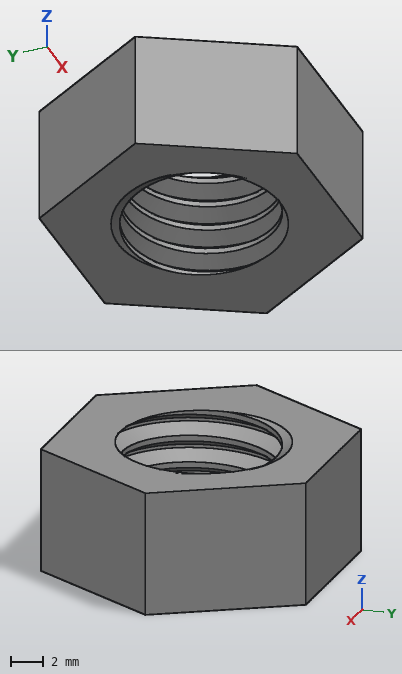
import cadquery as cq
import math

across_corners = 20.0
nut_height = 8.0
bore_radius = 5.0

thread_pitch = 1.75
root_radius = 6.0
root_flat = thread_pitch / 8
flank_half_angle = math.radians(30)
start_angle = 40.0
bore_overlap = 0.15
end_turns = 1


def hex_body():
    body = cq.Workplane("XY").polygon(6, across_corners).extrude(nut_height)
    return body.faces(">Z").workplane().circle(bore_radius).cutThruAll()


def thread_cutter():
    """Helical trapezoid whose groove centre meets the top face at start_angle."""
    inner_radius = bore_radius - bore_overlap
    root_half_width = root_flat / 2
    mouth_half_width = root_half_width + (root_radius - inner_radius) * math.tan(flank_half_angle)

    turns = math.ceil(nut_height / thread_pitch) + 2 * end_turns
    helix = cq.Wire.makeHelix(thread_pitch, turns * thread_pitch, bore_radius)
    profile = cq.Workplane("XZ").polyline([
        (inner_radius, -mouth_half_width),
        (root_radius, -root_half_width),
        (root_radius, root_half_width),
        (inner_radius, mouth_half_width),
    ]).close()
    cutter = profile.sweep(cq.Workplane(helix), isFrenet=True)

    bottom = nut_height - (turns - end_turns) * thread_pitch
    return cutter.rotate((0, 0, 0), (0, 0, 1), start_angle).translate((0, 0, bottom))


result = hex_body().cut(thread_cutter())